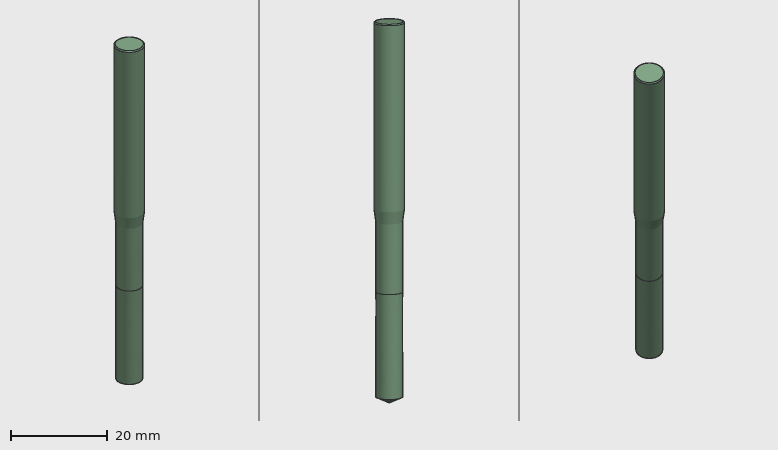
import cadquery as cq
import math

total_length = 80.7
shank_diameter = 6.35
shank_length = 39.7
shank_chamfer = 0.25
neck_taper_length = 2.7
neck_diameter = 5.63
neck_length = 14.8
tip_diameter = 5.63
back_taper = 0.02
point_angle = 130.0

shank_radius = shank_diameter / 2
neck_radius = neck_diameter / 2
tip_radius = tip_diameter / 2
cutter_back_radius = (tip_diameter - back_taper) / 2

point_height = tip_radius / math.tan(math.radians(point_angle / 2))
shank_bottom = total_length - shank_length
taper_bottom = shank_bottom - neck_taper_length
joint_height = taper_bottom - neck_length


def revolve_about_z(profile):
    """Turn a closed (radius, height) profile into a solid around the Z axis."""
    outline = cq.Workplane("XZ").polyline(profile).close()
    return outline.revolve(360, (0, 0, 0), (0, 1, 0))


def make_shank():
    """Chamfered cylindrical shank that tapers down to a straight neck."""
    return revolve_about_z([
        (0, joint_height),
        (neck_radius, joint_height),
        (neck_radius, taper_bottom),
        (shank_radius, shank_bottom),
        (shank_radius, total_length - shank_chamfer),
        (shank_radius - shank_chamfer, total_length),
        (0, total_length),
    ])


def make_cutter():
    """Pointed cutting section, very slightly slimmer at the back than at the tip."""
    return revolve_about_z([
        (0, 0),
        (tip_radius, point_height),
        (cutter_back_radius, joint_height),
        (0, joint_height),
    ])


shank = make_shank()
cutter = make_cutter()

result = cq.Compound.makeCompound([shank.val(), cutter.val()])